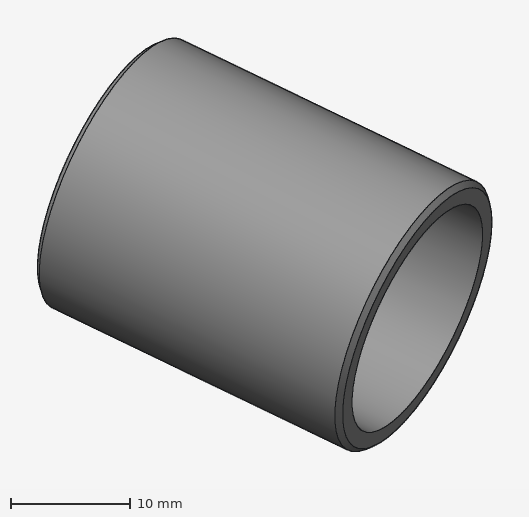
import cadquery as cq

length = 30.0
outer_diameter = 25.0
bore_diameter = 21.0
chamfer_size = 0.48

tube = (
    cq.Workplane("YZ", origin=(-length / 2, 0, 0))
    .circle(outer_diameter / 2)
    .circle(bore_diameter / 2)
    .extrude(length)
)

outer_rims = cq.selectors.RadiusNthSelector(-1)
result = tube.edges("%CIRCLE").edges(outer_rims).chamfer(chamfer_size)